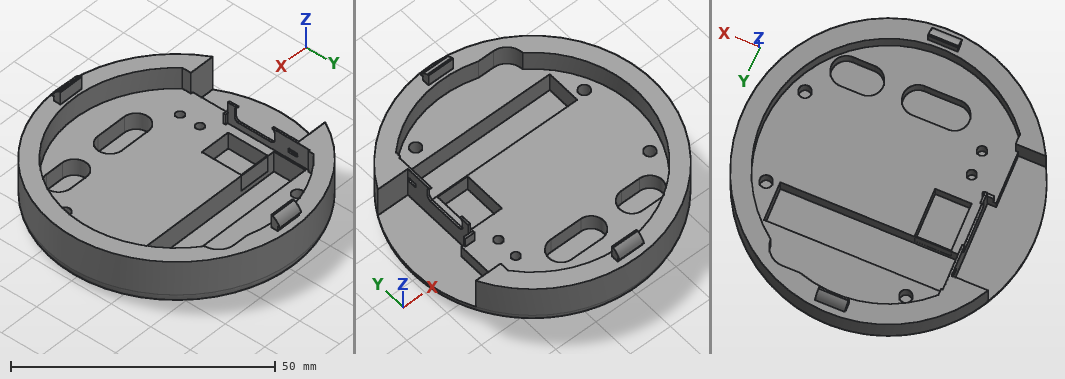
import cadquery as cq

outer_radius = 30.0
opening_radius = 25.95
plate_top = 3.0
floor_top = 6.0
rim_top = 11.2
edge_round = plate_top

notch_half_width = 14.2
wall_front_x = -18.9
wall_back_x = -18.4
wall_end_y = -3.35
ledge_front_x = -20.7

upper_left_x = -18.05
upper_left_end_y = 17.3
lower_left_x = -20.15

bulge_right_x = 15.45
bulge_top_y = 24.75
bulge_round = 4.0

window_right_y = -1.6
window_left_y = 8.5
window_bottom = 7.6
window_top = 11.3
window_round = 1.0
slit_end_y = 11.95
slit_top = 8.5
slit_round = 0.25

tab_front_x = -20.1
tab_back_x = -17.8
tab_thickness = 0.55
tab_top = slit_top

long_pocket_depth = 5.0
pocket_depth = 4.0
long_pocket_right_x = 18.6
long_pocket_y = (8.65, 16.6)
small_pocket_x = (-16.4, -8.95)
small_pocket_y = (-1.5, 8.45)
slot_width = 6.1
slot_y = -16.2
slot_ends_x = [(-9.85, 3.8), (7.85, 18.45)]
screw_hole_diameter = 2.6
screw_hole_centers = [(-11.95, 20.0), (21.1, 9.55), (21.1, -9.55)]
pin_hole_diameter = 2.0
pin_hole_centers = [(-14.25, -6.7), (-14.25, -11.75)]

clip_width = 6.1
clip_inner_y = 26.6
clip_outer_y = 28.3
clip_tip_y = 28.85
clip_top_flat = 0.35
clip_top = 14.25
clip_shoulder_z = 13.2
clip_hook_z = 12.3


def block(x_range, y_range, z_range):
    """Box between two limits along each axis."""
    size = [high - low for low, high in (x_range, y_range, z_range)]
    corner = (x_range[0], y_range[0], z_range[0])
    return cq.Workplane("XY").box(*size, centered=False).translate(corner)


def round_body():
    """Full disc up to the rim top, with the lower edge rounded."""
    return cq.Workplane("XY").circle(outer_radius).extrude(rim_top).faces("<Z").edges().fillet(edge_round)


def rim_opening():
    """Space inside the rim: a disc trimmed on its left side, plus the bulge."""
    heights = (floor_top, rim_top)
    disc = cq.Workplane("XY").workplane(offset=floor_top).circle(opening_radius).extrude(rim_top - floor_top)
    left_limits = [
        (upper_left_x, upper_left_end_y, outer_radius),
        (wall_back_x, wall_end_y, upper_left_end_y),
        (-outer_radius, -notch_half_width, wall_end_y),
        (lower_left_x, -outer_radius, -notch_half_width),
    ]
    opening = None
    for left_x, low_y, high_y in left_limits:
        band = disc.intersect(block((left_x, outer_radius), (low_y, high_y), heights))
        opening = band if opening is None else opening.union(band)
    bulge = block((0, bulge_right_x), (0, bulge_top_y), heights)
    bulge = bulge.edges("|Z and >X and >Y").fillet(bulge_round)
    return opening.union(bulge)


def side_notch():
    """Space in front of the thin wall and of the floor ledge, open to the outside."""
    before_wall = block(
        (-outer_radius, wall_front_x), (wall_end_y, notch_half_width), (plate_top, rim_top)
    )
    before_ledge = block(
        (-outer_radius, ledge_front_x), (-notch_half_width, wall_end_y), (plate_top, rim_top)
    )
    above_ledge = block(
        (-outer_radius, wall_back_x), (-notch_half_width, wall_end_y), (floor_top, rim_top)
    )
    return before_wall.union(before_ledge).union(above_ledge)


def wall_openings():
    """Connector window and corner slit through the thin wall, both with rounded corners."""
    across_wall = (wall_front_x, wall_back_x)
    window = block(across_wall, (window_right_y, window_left_y), (window_bottom, window_top))
    slit = block(across_wall, (slit_end_y, notch_half_width), (window_bottom, slit_top))
    return window.edges("|X").fillet(window_round).union(slit.edges("|X").fillet(slit_round))


def wall_tab():
    """Upright tab standing on the floor across the end of the thin wall."""
    return block(
        (tab_front_x, tab_back_x), (wall_end_y - tab_thickness, wall_end_y), (floor_top, tab_top)
    )


def floor_pockets():
    """Two rectangular pockets, two round-ended slots and the round holes sunk in the floor."""
    pocket_heights = (floor_top - pocket_depth, floor_top)
    cuts = block(
        (upper_left_x, long_pocket_right_x), long_pocket_y, (floor_top - long_pocket_depth, floor_top)
    )
    cuts = cuts.union(block(small_pocket_x, small_pocket_y, pocket_heights))
    floor = cq.Workplane("XY").workplane(offset=floor_top)
    for left_x, right_x in slot_ends_x:
        slot = floor.center((left_x + right_x) / 2, slot_y).slot2D(right_x - left_x, slot_width)
        cuts = cuts.union(slot.extrude(-pocket_depth))
    for centers, diameter in (
        (screw_hole_centers, screw_hole_diameter),
        (pin_hole_centers, pin_hole_diameter),
    ):
        cuts = cuts.union(floor.pushPoints(centers).circle(diameter / 2).extrude(-pocket_depth))
    return cuts


def make_housing():
    """Round body with its rim, notch, thin wall and floor pockets."""
    housing = round_body().cut(rim_opening()).cut(side_notch())
    return housing.cut(wall_openings()).cut(floor_pockets()).union(wall_tab())


def make_clip():
    """Clip on the +Y side, hooked outward, with a round lead-in above the hook."""
    profile = (
        cq.Workplane("YZ")
        .moveTo(clip_inner_y, rim_top)
        .lineTo(clip_inner_y, clip_top)
        .lineTo(clip_inner_y + clip_top_flat, clip_top)
        .threePointArc((clip_outer_y, clip_shoulder_z), (clip_tip_y, clip_hook_z))
        .lineTo(clip_outer_y, clip_hook_z)
        .lineTo(clip_outer_y, rim_top)
        .close()
    )
    return profile.extrude(clip_width / 2, both=True)


housing = make_housing()
clips = [make_clip().rotate((0, 0, 0), (0, 0, 1), angle) for angle in (0, 180)]

result = cq.Compound.makeCompound([housing.val(), *[clip.val() for clip in clips]])